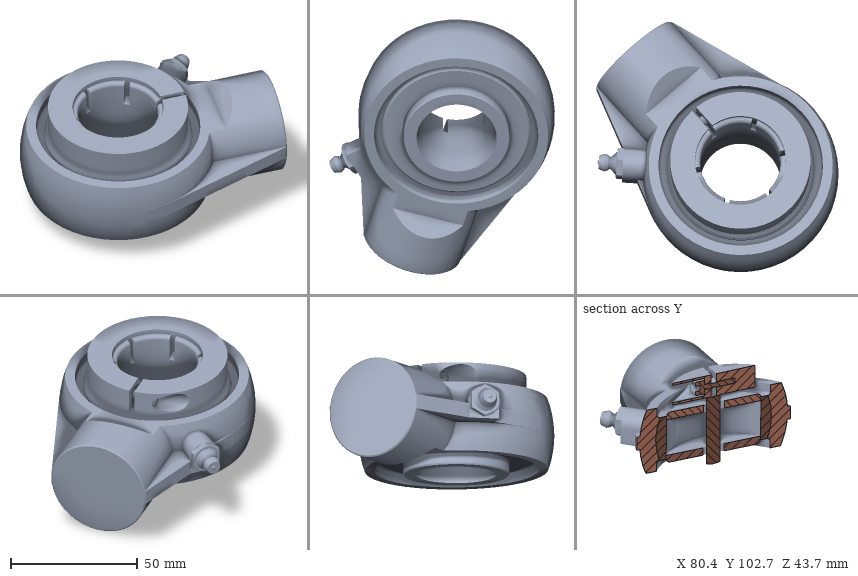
import cadquery as cq
import math


OVERALL_LENGTH = 102.7
HOUSING_TILT = 0.77
BARREL_RADIUS = 38.8
BARREL_FACE_RADIUS = 36.4
BARREL_HALF_HEIGHT = 14.0
RECESS_DIAMETER = 65.0
RECESS_RADIUS = RECESS_DIAMETER / 2
RECESS_FILLET = 1.0
SOCKET_RADIUS = 20.0
SOCKET_START_Y = 33.3
SOCKET_END_Y = OVERALL_LENGTH - BARREL_RADIUS
SOCKET_FLAT_END_Y = 40.4
SOCKET_EDGE_CHAMFER = 0.5
WEB_THICKNESS = 5.9
WEB_HALF_THICKNESS = WEB_THICKNESS / 2

NIPPLE_ANGLE = 135.0
NIPPLE_Z = 4.0
BOSS_RADIUS = 6.0
BOSS_START = 35.4
BOSS_END = 46.5
HEX_ACROSS_FLATS = 11.1
HEX_THICKNESS = 2.6
HEX_CORNER_CHAMFER_HEIGHT = 0.4
HEX_CORNER_CHAMFER_WIDTH = 0.8
NIPPLE_CONE_RADIUS = 4.6
NIPPLE_NECK_RADIUS = 2.5
NIPPLE_COLLAR_RADIUS = 3.0
NIPPLE_HEAD_RADIUS = 3.5
NIPPLE_TIP_RADIUS = 2.7
NIPPLE_NECK_START = 2.3
NIPPLE_NECK_END = 2.9
NIPPLE_COLLAR = 3.3
NIPPLE_HEAD = 4.7
NIPPLE_TIP = 7.1
NIPPLE_BALL_RADIUS = 1.3
NIPPLE_BALL_PROTRUSION = 0.4

BORE_DIAMETER = 31.7
INNER_RING_DIAMETER = 42.0
OUTER_RING_HALF_WIDTH = 9.5
OUTER_RING_FACE_RADIUS = RECESS_RADIUS - RECESS_FILLET
SEAT_SPHERE_RADIUS = math.hypot(OUTER_RING_FACE_RADIUS, OUTER_RING_HALF_WIDTH)
SEAL_RADIUS = 29.4
SEAL_EDGE_CHAMFER = 0.8
SEAL_INNER_Z = 7.7
SEAL_OUTER_Z = 11.1
SEAL_HOLE_RADIUS = 21.3
INNER_RING_RADIUS = INNER_RING_DIAMETER / 2
INNER_RING_BOTTOM_Z = -15.9
INNER_RING_CHAMFER_HEIGHT = 0.6
INNER_RING_CHAMFER_WIDTH = 0.3
BORE_RADIUS = BORE_DIAMETER / 2
FINGER_RADIUS = 18.0
FINGER_TOP_Z = 21.9
FINGER_EDGE_FILLET = 1.5
SLOT_COUNT = 6
SLOT_WIDTH = 2.2
SLOT_BOTTOM_Z = 11.3
SLOT_FLOOR_OUTER_RADIUS = 19.3

COLLAR_RADIUS = 27.7
COLLAR_BOTTOM_Z = 14.0
COLLAR_TOP_Z = 23.7
SCREW_Y = 22.5
SCREW_Z = 18.9
SCREW_DIAMETER = 4.0
SCREW_RADIUS = SCREW_DIAMETER / 2
SCREW_END_X = 9.2
SCREW_HEAD_RADIUS = 3.5
COUNTERBORE_RADIUS = 4.1
HEAD_SEAT_X = -4.1
HEAD_LENGTH = 4.0
HEX_SOCKET_ACROSS_FLATS = 4.0
HEX_SOCKET_DEPTH = 2.1


def cylinder(radius, bottom, top):
    """Cylinder on the Z axis between two heights."""
    return cq.Workplane("XY").workplane(offset=bottom).circle(radius).extrude(top - bottom)


def cylinder_x(radius, start, end):
    """Cylinder on the clamp screw axis, parallel to X, between two X positions."""
    plane = cq.Workplane("YZ", origin=(start, SCREW_Y, SCREW_Z))
    return plane.circle(radius).extrude(end - start)


def radial_plane(distance):
    """Workplane on the nipple axis facing outward, local Y pointing up."""
    angle = math.radians(NIPPLE_ANGLE)
    direction = cq.Vector(math.cos(angle), math.sin(angle), 0)
    origin = direction * distance + cq.Vector(0, 0, NIPPLE_Z)
    sideways = cq.Vector(-math.sin(angle), math.cos(angle), 0)
    return cq.Workplane(cq.Plane(origin=origin, xDir=sideways, normal=direction))


def tilt(body):
    return body.rotate((0, 0, 0), (0, 1, 0), HOUSING_TILT)


def hex_diameter(across_flats):
    return across_flats / math.cos(math.pi / 6)


def barrel():
    return (
        cq.Workplane("XZ")
        .moveTo(0, -BARREL_HALF_HEIGHT)
        .lineTo(BARREL_FACE_RADIUS, -BARREL_HALF_HEIGHT)
        .threePointArc((BARREL_RADIUS, 0), (BARREL_FACE_RADIUS, BARREL_HALF_HEIGHT))
        .lineTo(0, BARREL_HALF_HEIGHT)
        .close()
        .revolve(360, (0, 0, 0), (0, 1, 0))
    )


def socket():
    """Round boss along Y, thinned by flats and 45 degree ramps to the barrel height."""
    length = SOCKET_END_Y - SOCKET_START_Y
    boss = cq.Workplane("XZ", origin=(0, SOCKET_END_Y, 0)).circle(SOCKET_RADIUS).extrude(length)
    boss = boss.faces(">Y").chamfer(SOCKET_EDGE_CHAMFER)
    ramp_end_y = SOCKET_FLAT_END_Y + SOCKET_RADIUS - BARREL_HALF_HEIGHT
    side_outline = (
        cq.Workplane("YZ")
        .moveTo(SOCKET_START_Y, -BARREL_HALF_HEIGHT)
        .lineTo(SOCKET_FLAT_END_Y, -BARREL_HALF_HEIGHT)
        .lineTo(ramp_end_y, -SOCKET_RADIUS)
        .lineTo(SOCKET_END_Y, -SOCKET_RADIUS)
        .lineTo(SOCKET_END_Y, SOCKET_RADIUS)
        .lineTo(ramp_end_y, SOCKET_RADIUS)
        .lineTo(SOCKET_FLAT_END_Y, BARREL_HALF_HEIGHT)
        .lineTo(SOCKET_START_Y, BARREL_HALF_HEIGHT)
        .close()
        .extrude(SOCKET_RADIUS, both=True)
    )
    return boss.intersect(side_outline)


def web():
    """Flat plate whose straight edges run from the socket end tangent to the barrel equator."""
    end_y = SOCKET_END_Y - SOCKET_EDGE_CHAMFER
    corner_angle = math.atan2(end_y, SOCKET_RADIUS)
    corner_distance = math.hypot(end_y, SOCKET_RADIUS)
    tangent_angle = corner_angle - math.acos(BARREL_RADIUS / corner_distance)
    tangent_x = BARREL_RADIUS * math.cos(tangent_angle)
    tangent_y = BARREL_RADIUS * math.sin(tangent_angle)
    arc_mid_x = math.cos(tangent_angle / 2)
    arc_mid_y = math.sin(tangent_angle / 2)
    return (
        cq.Workplane("XY")
        .moveTo(SOCKET_RADIUS, end_y)
        .lineTo(tangent_x, tangent_y)
        .threePointArc((BARREL_RADIUS * arc_mid_x, BARREL_RADIUS * arc_mid_y), (BARREL_RADIUS, 0))
        .lineTo(-BARREL_RADIUS, 0)
        .threePointArc((-BARREL_RADIUS * arc_mid_x, BARREL_RADIUS * arc_mid_y), (-tangent_x, tangent_y))
        .lineTo(-SOCKET_RADIUS, end_y)
        .close()
        .extrude(WEB_HALF_THICKNESS, both=True)
    )


def grease_boss():
    """Boss with a round top and straight sides down to the underside of the web."""
    drop = -(NIPPLE_Z + WEB_HALF_THICKNESS)
    return (
        radial_plane(BOSS_START)
        .moveTo(-BOSS_RADIUS, drop)
        .lineTo(BOSS_RADIUS, drop)
        .lineTo(BOSS_RADIUS, 0)
        .threePointArc((0, BOSS_RADIUS), (-BOSS_RADIUS, 0))
        .close()
        .extrude(BOSS_END - BOSS_START)
    )


def seat_sphere():
    """Spherical seat between housing and outer ring, as wide as the outer ring."""
    width = OUTER_RING_HALF_WIDTH
    ball = cq.Workplane("XY").sphere(SEAT_SPHERE_RADIUS)
    return ball.intersect(cylinder(SEAT_SPHERE_RADIUS, -width, width))


def make_housing():
    body = barrel().union(web()).union(socket()).union(grease_boss())
    recess = cylinder(RECESS_RADIUS, OUTER_RING_HALF_WIDTH, BARREL_HALF_HEIGHT)
    recess = recess.faces("<Z").edges().fillet(RECESS_FILLET)
    body = body.cut(recess).cut(recess.mirror("XY"))
    body = body.cut(seat_sphere())
    return tilt(body)


def nipple_hexagon():
    """Hexagon with one corner up and its outer corners turned down to a cone."""
    corner_diameter = hex_diameter(HEX_ACROSS_FLATS)
    hexagon = radial_plane(BOSS_END).transformed(rotate=(0, 0, 90)).polygon(6, corner_diameter)
    blank = radial_plane(BOSS_END).circle(corner_diameter / 2).extrude(HEX_THICKNESS)
    blank = blank.faces("<X").chamfer(HEX_CORNER_CHAMFER_HEIGHT, HEX_CORNER_CHAMFER_WIDTH)
    return hexagon.extrude(HEX_THICKNESS).intersect(blank)


def make_nipple():
    ball_center = NIPPLE_TIP + NIPPLE_BALL_PROTRUSION - NIPPLE_BALL_RADIUS
    head = (
        cq.Workplane("XY")
        .lineTo(NIPPLE_CONE_RADIUS, 0)
        .lineTo(NIPPLE_NECK_RADIUS, NIPPLE_NECK_START)
        .lineTo(NIPPLE_NECK_RADIUS, NIPPLE_NECK_END)
        .lineTo(NIPPLE_COLLAR_RADIUS, NIPPLE_COLLAR)
        .lineTo(NIPPLE_HEAD_RADIUS, NIPPLE_HEAD)
        .lineTo(NIPPLE_TIP_RADIUS, NIPPLE_TIP)
        .lineTo(0, NIPPLE_TIP)
        .close()
        .revolve(360, (0, 0, 0), (0, 1, 0))
        .union(cq.Workplane("XY", origin=(0, ball_center, 0)).sphere(NIPPLE_BALL_RADIUS))
        .rotate((0, 0, 0), (0, 0, 1), NIPPLE_ANGLE - 90)
        .translate(radial_plane(BOSS_END + HEX_THICKNESS).plane.origin)
    )
    return tilt(nipple_hexagon().union(head))


def make_outer_ring():
    width = OUTER_RING_HALF_WIDTH
    return tilt(seat_sphere().cut(cylinder(SEAL_RADIUS, -width, width)))


def make_seal(side):
    """Shield between the two bearing rings: side +1 is the collar end, side -1 the opposite end."""
    seal = cylinder(SEAL_RADIUS, SEAL_INNER_Z, SEAL_OUTER_Z).faces(">Z").chamfer(SEAL_EDGE_CHAMFER)
    seal = seal.cut(cylinder(SEAL_HOLE_RADIUS, SEAL_INNER_Z, SEAL_OUTER_Z))
    return tilt(seal if side > 0 else seal.mirror("XY"))


def inner_ring_slot(angle):
    return (
        cq.Workplane("XZ")
        .moveTo(0, SLOT_BOTTOM_Z)
        .lineTo(BORE_RADIUS, SLOT_BOTTOM_Z)
        .lineTo(SLOT_FLOOR_OUTER_RADIUS, COLLAR_BOTTOM_Z)
        .lineTo(SLOT_FLOOR_OUTER_RADIUS, FINGER_TOP_Z)
        .lineTo(0, FINGER_TOP_Z)
        .close()
        .extrude(SLOT_WIDTH / 2, both=True)
        .rotate((0, 0, 0), (0, 0, 1), angle)
    )


def make_inner_ring():
    """Sleeve with a shoulder under the collar and six slotted fingers inside it."""
    bottom = INNER_RING_BOTTOM_Z
    ring = (
        cq.Workplane("XZ")
        .moveTo(BORE_RADIUS, bottom)
        .lineTo(INNER_RING_RADIUS - INNER_RING_CHAMFER_WIDTH, bottom)
        .lineTo(INNER_RING_RADIUS, bottom + INNER_RING_CHAMFER_HEIGHT)
        .lineTo(INNER_RING_RADIUS, COLLAR_BOTTOM_Z)
        .lineTo(FINGER_RADIUS, COLLAR_BOTTOM_Z)
        .lineTo(FINGER_RADIUS, FINGER_TOP_Z)
        .lineTo(BORE_RADIUS + FINGER_EDGE_FILLET, FINGER_TOP_Z)
        .radiusArc((BORE_RADIUS, FINGER_TOP_Z - FINGER_EDGE_FILLET), -FINGER_EDGE_FILLET)
        .close()
        .revolve(360, (0, 0, 0), (0, 1, 0))
    )
    for index in range(SLOT_COUNT):
        ring = ring.cut(inner_ring_slot(90 + index * 360 / SLOT_COUNT))
    return ring


def make_collar():
    collar = cylinder(COLLAR_RADIUS, COLLAR_BOTTOM_Z, COLLAR_TOP_Z)
    collar = collar.cut(cylinder(FINGER_RADIUS, COLLAR_BOTTOM_Z, COLLAR_TOP_Z))
    split = cq.Workplane("XY", origin=(0, 0, COLLAR_BOTTOM_Z)).box(
        SLOT_WIDTH, COLLAR_RADIUS, COLLAR_TOP_Z - COLLAR_BOTTOM_Z, centered=(True, False, False)
    )
    collar = collar.cut(split)
    collar = collar.cut(cylinder_x(COUNTERBORE_RADIUS, -COLLAR_RADIUS, HEAD_SEAT_X))
    return collar.cut(cylinder_x(SCREW_RADIUS, HEAD_SEAT_X, SCREW_END_X))


def make_screw():
    head_face_x = HEAD_SEAT_X - HEAD_LENGTH
    screw = cylinder_x(SCREW_HEAD_RADIUS, head_face_x, HEAD_SEAT_X)
    screw = screw.union(cylinder_x(SCREW_RADIUS, HEAD_SEAT_X, SCREW_END_X))
    hex_socket = (
        cq.Workplane("YZ", origin=(head_face_x, SCREW_Y, SCREW_Z))
        .polygon(6, hex_diameter(HEX_SOCKET_ACROSS_FLATS))
        .extrude(HEX_SOCKET_DEPTH)
    )
    return screw.cut(hex_socket)


housing = make_housing()
nipple = make_nipple()
outer_ring = make_outer_ring()
seals = [make_seal(side) for side in (1, -1)]
inner_ring = make_inner_ring()
collar = make_collar()
screw = make_screw()

result = cq.Compound.makeCompound([
    housing.val(),
    nipple.val(),
    outer_ring.val(),
    *[seal.val() for seal in seals],
    inner_ring.val(),
    collar.val(),
    screw.val(),
])